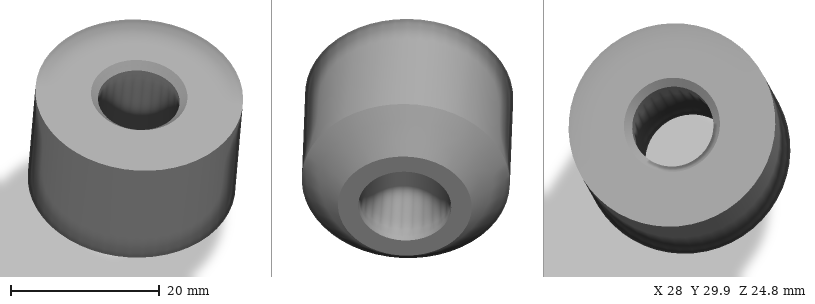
import cadquery as cq

body_diameter = 28.0
nose_diameter = 18.0
total_length = 22.0
nose_length = 5.0
bore_top_diameter = 11.0
bore_bottom_diameter = 12.5
lead_in_diameter = 13.0
lead_in_depth = 1.0
tilt_angle = 7.37


def revolve_about_z(points):
    """Revolve a closed (radius, height) outline around the Z axis."""
    return cq.Workplane("XZ").polyline(points).close().revolve(360, (0, 0), (0, 1))


def make_bushing():
    """Cylinder with a conical nose and a tapered through bore, upright on Z."""
    lead_in_height = total_length - lead_in_depth
    return revolve_about_z([
        (bore_bottom_diameter / 2, 0),
        (nose_diameter / 2, 0),
        (body_diameter / 2, nose_length),
        (body_diameter / 2, total_length),
        (lead_in_diameter / 2, total_length),
        (bore_top_diameter / 2, lead_in_height),
    ])


def lean_toward_y(body):
    """Tilt the body about the X axis so that its top moves toward +Y."""
    return body.rotate((0, 0, 0), (1, 0, 0), -tilt_angle)


result = lean_toward_y(make_bushing())